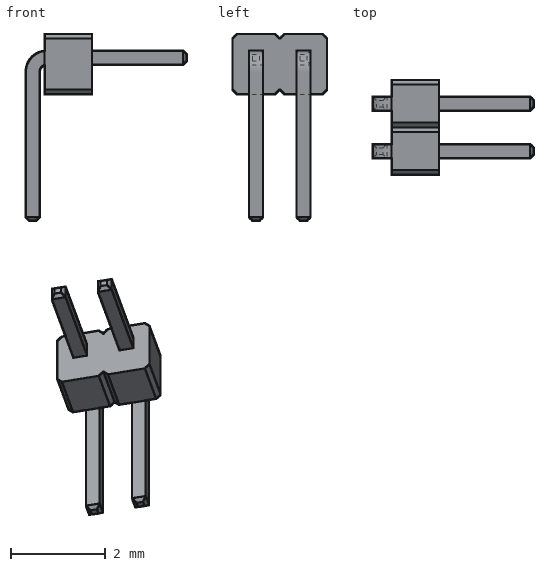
import cadquery as cq

length_x = 3.4
height_z = 3.94
pin_count = 2
pitch = 1.0

housing_length = 1.0
housing_height = 1.273
housing_start_x = 0.4
housing_chamfer = 0.1

pin_width = 0.3
pin_axis_depth = 0.5
bend_inner_radius = 0.15
bend_outer_radius = bend_inner_radius + pin_width
tip_chamfer = 0.08

pin_top_z = height_z - pin_axis_depth + pin_width / 2
pin_axis_z = height_z - pin_axis_depth
bend_axis_z = pin_top_z - bend_outer_radius
leg_axis_x = pin_width / 2
tip_width = pin_width - 2 * tip_chamfer


def housing_block(y):
    """Block with its four lengthwise edges chamfered."""
    return (
        cq.Workplane("XY")
        .box(housing_length, pitch, housing_height, centered=(False, True, False))
        .edges("|X")
        .chamfer(housing_chamfer)
        .translate((housing_start_x, y, height_z - housing_height))
    )


def tip(plane):
    """Square frustum narrowing along the plane normal."""
    return (
        cq.Workplane(plane)
        .rect(pin_width, pin_width)
        .workplane(offset=tip_chamfer)
        .rect(tip_width, tip_width)
        .loft(ruled=True)
    )


def pin(y):
    """Downward leg, quarter bend, and straight contact, tapered at both ends."""
    contact_end_x = length_x - tip_chamfer
    leg = (
        cq.Workplane("XY", origin=(leg_axis_x, 0, tip_chamfer))
        .rect(pin_width, pin_width)
        .extrude(bend_axis_z - tip_chamfer)
    )
    bend = (
        cq.Workplane("XY", origin=(leg_axis_x, 0, bend_axis_z))
        .rect(pin_width, pin_width)
        .revolve(
            90,
            (bend_outer_radius - leg_axis_x, 0, 0),
            (bend_outer_radius - leg_axis_x, 1, 0),
        )
    )
    contact = (
        cq.Workplane("YZ", origin=(bend_outer_radius, 0, pin_axis_z))
        .rect(pin_width, pin_width)
        .extrude(contact_end_x - bend_outer_radius)
    )
    leg_tip = tip(cq.Plane((leg_axis_x, 0, tip_chamfer), xDir=(1, 0, 0), normal=(0, 0, -1)))
    contact_tip = tip(cq.Plane((contact_end_x, 0, pin_axis_z), xDir=(0, 1, 0), normal=(1, 0, 0)))
    return leg.union(bend).union(contact).union(leg_tip).union(contact_tip).translate((0, y, 0))


result = cq.Workplane("XY")
for index in range(pin_count):
    position_y = (index - (pin_count - 1) / 2) * pitch
    result = result.union(housing_block(position_y)).union(pin(position_y))